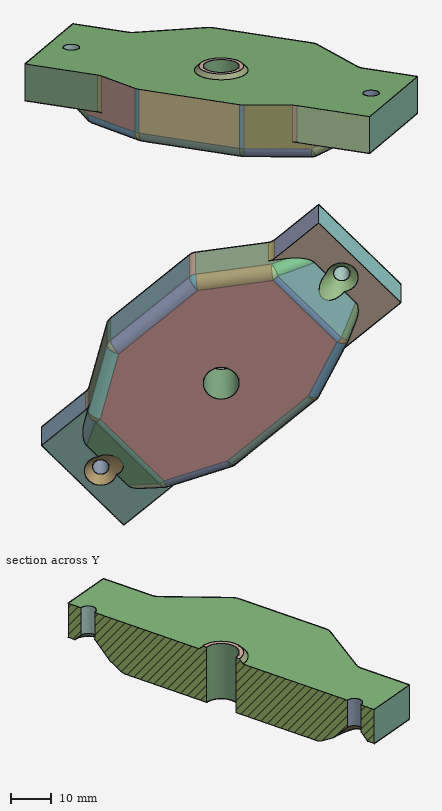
import cadquery as cq
import math

body_height = 14.5
boss_height = 1.1
arm_underside = 4.8

arm_half_length = 46.0
arm_half_width = 15.0
flat_half_length = 14.0
back_y = 26.0
front_y = -20.0
back_shoulder_x = 30.5
front_shoulder_x = 26.0

end_angle = 30.0
underside_half_length = 29.5
slope_top_half_length = 42.0

edge_radius = 3.0

select_margin = 1.0

bore_diameter = 8.8
boss_top_diameter = 11.0
boss_base_diameter = boss_top_diameter + 2 * boss_height

screw_spacing = 80.0
screw_diameter = 4.0
sink_diameter = 8.0


def mirrored_outline(right_half):
    """Join a list of right-hand points, lowest first, with its mirror image."""
    left_half = [(-x, y) for x, y in reversed(right_half)]
    return right_half + left_half


def wall_y(flat_y, shoulder_x, x):
    """Y of the slanted side wall, extended in a straight line to the given X."""
    shoulder_y = math.copysign(arm_half_width, flat_y)
    slope = (shoulder_y - flat_y) / (shoulder_x - flat_half_length)
    return flat_y + slope * (x - flat_half_length)


def edges_centred_in(half_length, z_low, z_high):
    """Selector for edges centred within the given X and Z limits, at any Y of the part."""
    return cq.selectors.BoxSelector(
        (-half_length, front_y - select_margin, z_low),
        (half_length, back_y + select_margin, z_high),
    )


def make_plate():
    """Upper plate with the two arms; the slanted walls blend into flats and arms."""
    outline = mirrored_outline([
        (flat_half_length, front_y),
        (front_shoulder_x, -arm_half_width),
        (arm_half_length, -arm_half_width),
        (arm_half_length, arm_half_width),
        (back_shoulder_x, arm_half_width),
        (flat_half_length, back_y),
    ])
    plate = (
        cq.Workplane("XY")
        .workplane(offset=arm_underside)
        .polyline(outline)
        .close()
        .extrude(body_height - arm_underside)
    )
    inner_corners = plate.edges("|Z").edges(
        edges_centred_in(arm_half_length - select_margin, arm_underside, body_height)
    )
    return inner_corners.fillet(edge_radius)


def make_deep_body():
    """Central body below the arms, with sloped ends and rounded lower edges."""
    tip_x = slope_top_half_length
    outline = mirrored_outline([
        (flat_half_length, front_y),
        (tip_x, wall_y(front_y, front_shoulder_x, tip_x)),
        (tip_x, wall_y(back_y, back_shoulder_x, tip_x)),
        (flat_half_length, back_y),
    ])
    slope_rise = (tip_x - underside_half_length) * math.tan(math.radians(end_angle))
    side_profile = mirrored_outline([
        (underside_half_length, 0),
        (tip_x, slope_rise),
        (tip_x, body_height),
    ])
    prism = cq.Workplane("XY").polyline(outline).close().extrude(body_height)
    envelope = (
        cq.Workplane("XZ", origin=(0, back_y, 0))
        .polyline(side_profile)
        .close()
        .extrude(back_y - front_y)
    )
    body = prism.intersect(envelope)
    lower_edges = body.edges(
        edges_centred_in(tip_x, -select_margin, arm_underside)
    )
    wall_corners = body.edges("|Z").edges(
        edges_centred_in(flat_half_length + select_margin, 0, body_height)
    )
    rounded = lower_edges.add(wall_corners)
    return rounded.fillet(edge_radius)


def make_boss():
    """Conical collar around the bore on the top face."""
    return (
        cq.Workplane("XY")
        .workplane(offset=body_height)
        .circle(boss_base_diameter / 2)
        .workplane(offset=boss_height)
        .circle(boss_top_diameter / 2)
        .loft()
    )


def make_screw_cutter():
    """Through hole with a 90 degree countersink that keeps widening down to Z = 0."""
    screw_radius = screw_diameter / 2
    mouth_radius = sink_diameter / 2 + arm_underside
    sink_top = mouth_radius - screw_radius
    return (
        cq.Workplane("XZ")
        .polyline([
            (0, 0),
            (mouth_radius, 0),
            (screw_radius, sink_top),
            (screw_radius, body_height),
            (0, body_height),
        ])
        .close()
        .revolve(360, (0, 0), (0, 1))
    )


part = make_plate().union(make_deep_body()).union(make_boss())

bore = cq.Workplane("XY").circle(bore_diameter / 2).extrude(body_height + boss_height)
part = part.cut(bore)

for side in (-1, 1):
    part = part.cut(make_screw_cutter().translate((side * screw_spacing / 2, 0, 0)))

result = part